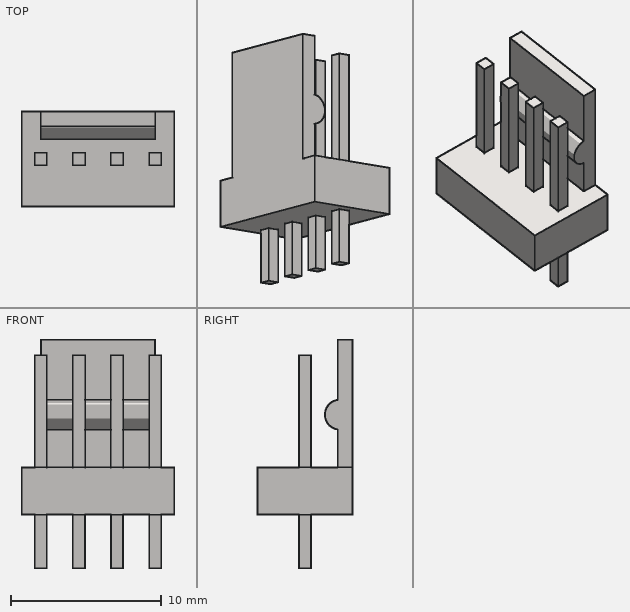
import cadquery as cq

pin_count = 4
pin_width = 0.82
pin_length = 14.2
pin_tail = 3.58

base_length = 10.17
base_depth = 6.35
base_height = 3.15
wall_length = 7.62
wall_thickness = 1.0
overall_height = 15.24

rib_width = 1.98
rib_projection = 0.85
rib_height = 10.24

pin_pitch = base_length / pin_count
back_y = base_depth / 2
wall_front_y = back_y - wall_thickness
wall_height = overall_height - pin_tail
pin_positions = [(i - (pin_count - 1) / 2) * pin_pitch for i in range(pin_count)]


def make_pin(x):
    """Square pin standing on Z = 0, centred on the base depth."""
    return cq.Workplane("XY").center(x, 0).rect(pin_width, pin_width).extrude(pin_length)


def make_wall():
    """Upright locking wall, rising from the underside of the base."""
    wall = cq.Workplane("XY").box(wall_length, wall_thickness, wall_height, centered=(True, False, False))
    return wall.translate((0, wall_front_y, pin_tail))


def make_rib():
    """Bar with a circular-arc profile, its flat side lying on the wall's front face."""
    return (
        cq.Workplane("YZ")
        .moveTo(wall_front_y, rib_height - rib_width / 2)
        .threePointArc(
            (wall_front_y - rib_projection, rib_height),
            (wall_front_y, rib_height + rib_width / 2),
        )
        .close()
        .extrude(wall_length / 2, both=True)
    )


def make_housing(pins):
    """Base, wall and rib in one piece, with a through hole for each pin."""
    base = cq.Workplane("XY").box(base_length, base_depth, base_height, centered=(True, True, False))
    housing = base.translate((0, 0, pin_tail)).union(make_wall()).union(make_rib())
    for pin in pins:
        housing = housing.cut(pin)
    return housing


pins = [make_pin(x) for x in pin_positions]
housing = make_housing(pins)

result = cq.Compound.makeCompound([housing.val(), *[pin.val() for pin in pins]])